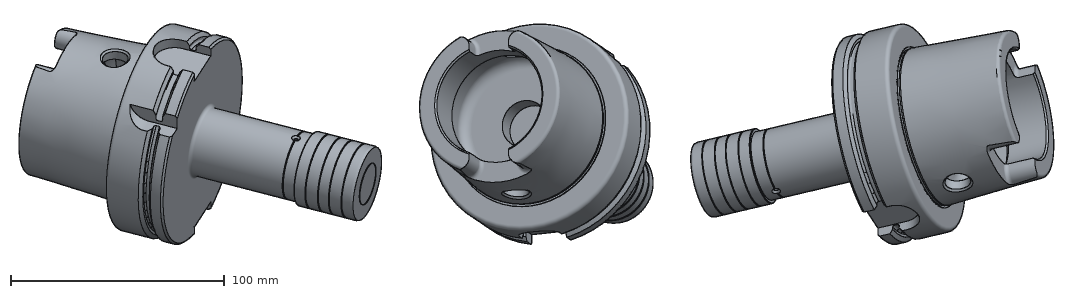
import cadquery as cq
import math


gauge_x = 50.0
flange_end_x = 79.0
head_x = 132.3
head_end_x = 162.2
total_length = 162.5

taper_end_radius = 35.5
taper_slope = 1 / 20
relief_radius = 37.5
relief_start_x = 48.8
relief_floor_x = 49.5
taper_edge_fillet = 1.6
face_groove_radius = 38.7
face_groove_depth = 0.5

bore_radius = 26.5
bore_chamfer = 0.8
bore_depth = 19.7
clamp_radius = 31.5
clamp_angle = 60
cavity_depth = 44.8
cavity_floor_fillet = 4.9
center_hole_diameter = 22.5
center_hole_depth = 9.8

keyway_half_width = 9.9
keyway_edge_radius = 5.0
keyway_edge_z = 27.1
keyway_floor_fillet = 2.0
upper_keyway_depth = 9.9
lower_keyway_depth = 14.8

cross_hole_x = 34.8
cross_hole_radius = 6.0
cross_hole_chamfer = 1.0

flange_radius = 100.0 / 2
flange_front_fillet = 2.0
flange_rear_chamfer = 1.0
groove_x = 69.9
groove_floor_radius = 45.8
groove_wall_radius = 48.0
groove_half_width = 1.6
groove_mouth_half_width = 3.1
groove_fillet = 0.8

flat_width = 20.0
flat_end_x = 54.8
flat_height = 44.0
notch_wall = 31.5

shank_radius = 33.0 / 2
root_fillet = 1.8
head_radius = 18.0
head_chamfer = 0.3
head_end_taper_length = 1.1
head_groove_radius = 17.7
head_groove_width = 0.3
head_groove_xs = (138.1, 144.5, 150.0, 156.3)
tip_diameter = 20.2

ring_x = 126.1
ring_width = 0.5
ring_depth = 0.2
dimple_diameter = 4.0
dimple_core_diameter = 2.0
dimple_depth = 2.0

clearance = 3.2


def revolve_profile(points):
    """Solid of revolution about X from (x, radius) points."""
    return cq.Workplane("XY").polyline(points).close().revolve(360, (0, 0, 0), (1, 0, 0))


def rod(start_x, end_x, diameter):
    return cq.Workplane("YZ").workplane(offset=start_x).circle(diameter / 2).extrude(end_x - start_x)


def ring_cutter(center_x, width, floor_radius, outer_radius):
    start_x = center_x - width / 2
    end_x = center_x + width / 2
    return rod(start_x, end_x, 2 * outer_radius).cut(rod(start_x, end_x, 2 * floor_radius))


def make_taper():
    taper = revolve_profile([
        (0, 0),
        (0, taper_end_radius),
        (relief_start_x, taper_end_radius + taper_slope * relief_start_x),
        (relief_floor_x, relief_radius),
        (gauge_x, relief_radius),
        (gauge_x, 0),
    ])
    taper = taper.faces("<X").edges().fillet(taper_edge_fillet)
    cross_hole = cq.Workplane("XY").center(cross_hole_x, 0).circle(cross_hole_radius)
    taper = taper.cut(cross_hole.extrude(flange_radius, both=True))
    rim_size = 2 * cross_hole_radius + clearance
    rims = cq.selectors.BoxSelector(
        (cross_hole_x - rim_size / 2, -rim_size / 2, -flange_radius),
        (cross_hole_x + rim_size / 2, rim_size / 2, flange_radius),
        boundingbox=True,
    )
    return taper.edges(rims).edges("not |Z").chamfer(cross_hole_chamfer)


def make_flange():
    flange = rod(gauge_x, flange_end_x, 2 * flange_radius)
    flange = flange.faces("<X").edges().fillet(flange_front_fillet)
    flange = flange.faces(">X").edges().chamfer(flange_rear_chamfer)
    face_groove = rod(gauge_x, gauge_x + face_groove_depth, 2 * face_groove_radius)
    flange = flange.cut(face_groove.cut(rod(gauge_x, gauge_x + face_groove_depth, 2 * relief_radius)))
    flank_slope = (groove_mouth_half_width - groove_half_width) / (flange_radius - groove_wall_radius)
    outer_radius = flange_radius + clearance
    outer_half_width = groove_mouth_half_width + clearance * flank_slope
    groove = revolve_profile([
        (groove_x - groove_half_width, groove_floor_radius),
        (groove_x - groove_half_width, groove_wall_radius),
        (groove_x - outer_half_width, outer_radius),
        (groove_x + outer_half_width, outer_radius),
        (groove_x + groove_half_width, groove_wall_radius),
        (groove_x + groove_half_width, groove_floor_radius),
    ])
    floor_edges = cq.selectors.RadiusNthSelector(0)
    return flange.cut(groove.edges(floor_edges).fillet(groove_fillet))


def make_shank_and_head():
    diagonal = root_fillet * (1 - math.sqrt(0.5))
    shank = (
        cq.Workplane("XY")
        .moveTo(flange_end_x, 0)
        .lineTo(flange_end_x, shank_radius + root_fillet)
        .threePointArc(
            (flange_end_x + diagonal, shank_radius + diagonal),
            (flange_end_x + root_fillet, shank_radius),
        )
        .lineTo(head_x, shank_radius)
        .lineTo(head_x, 0)
        .close()
        .revolve(360, (0, 0, 0), (1, 0, 0))
    )
    head = revolve_profile([
        (head_x, 0),
        (head_x, head_radius - head_chamfer),
        (head_x + head_chamfer, head_radius),
        (head_end_x - head_end_taper_length, head_radius),
        (head_end_x, head_radius - head_chamfer),
        (head_end_x, 0),
    ])
    for x in head_groove_xs:
        head = head.cut(ring_cutter(x, head_groove_width, head_groove_radius, head_radius + clearance))
    ring = ring_cutter(ring_x, ring_width, shank_radius - ring_depth, shank_radius + clearance)
    tip = rod(head_end_x, total_length, tip_diameter)
    return shank.cut(ring).union(head).union(tip)


def cavity_cutter():
    clamp_start = bore_depth + (clamp_radius - bore_radius) / math.tan(math.radians(clamp_angle))
    cavity = revolve_profile([
        (0, 0),
        (0, bore_radius + bore_chamfer),
        (bore_chamfer, bore_radius),
        (bore_depth, bore_radius),
        (clamp_start, clamp_radius),
        (cavity_depth, clamp_radius),
        (cavity_depth, 0),
    ])
    cavity = cavity.faces(">X").edges().fillet(cavity_floor_fillet)
    return cavity.union(rod(cavity_depth, cavity_depth + center_hole_depth, center_hole_diameter))


def keyway_cutter(depth):
    """Keyway above the axis; the tenon edges beside it are rounded outward."""
    outer_y = keyway_half_width + keyway_edge_radius
    outer_z = keyway_edge_z + keyway_edge_radius
    diagonal = keyway_edge_radius * (1 - math.sqrt(0.5))
    arc_mid = (keyway_half_width + diagonal, outer_z - diagonal)
    reach = taper_end_radius + clearance
    cutter = (
        cq.Workplane("YZ")
        .moveTo(-keyway_half_width, 0)
        .lineTo(keyway_half_width, 0)
        .lineTo(keyway_half_width, keyway_edge_z)
        .threePointArc(arc_mid, (outer_y, outer_z))
        .lineTo(outer_y + clearance, outer_z)
        .lineTo(outer_y + clearance, reach)
        .lineTo(-outer_y - clearance, reach)
        .lineTo(-outer_y - clearance, outer_z)
        .lineTo(-outer_y, outer_z)
        .threePointArc((-arc_mid[0], arc_mid[1]), (-keyway_half_width, keyway_edge_z))
        .close()
        .extrude(depth)
    )
    margin = 0.2
    wall_zone = cq.selectors.BoxSelector(
        (depth - margin, -outer_y - clearance + margin, margin),
        (depth + margin, outer_y + clearance - margin, reach - margin),
    )
    return cutter.edges(wall_zone).fillet(keyway_floor_fillet)


def flat_cutter(base_z, center_y=0):
    """Round-ended slot along X, open at the rear of the flange and everything above base_z."""
    radius = flat_width / 2
    center_x = flat_end_x + radius
    length = flange_end_x + clearance - center_x
    slot = cq.Workplane("XY", origin=(center_x, center_y, base_z)).circle(radius).extrude(flange_radius)
    straight = (
        cq.Workplane("XY", origin=(center_x, center_y, base_z))
        .rect(length, flat_width)
        .extrude(flange_radius)
        .translate((length / 2, 0, 0))
    )
    return slot.union(straight)


def corner_notch_cutter():
    """Right-angled notch between the -Y and +Z sides, with a round end."""
    slot = flat_cutter(notch_wall, notch_wall + flat_width / 2)
    return slot.rotate((0, 0, 0), (1, 0, 0), 90)


def dimple_cutter():
    cone_depth = (dimple_diameter - dimple_core_diameter) / 2
    dimple = (
        cq.Workplane("XY", origin=(ring_x, 0, shank_radius))
        .circle(dimple_diameter / 2)
        .workplane(offset=-cone_depth)
        .circle(dimple_core_diameter / 2)
        .loft()
    )
    core = (
        cq.Workplane("XY", origin=(ring_x, 0, shank_radius - dimple_depth))
        .circle(dimple_core_diameter / 2)
        .extrude(dimple_depth)
    )
    return dimple.union(core)


def turned_over(shape):
    return shape.rotate((0, 0, 0), (1, 0, 0), 180)


result = make_taper().union(make_flange()).union(make_shank_and_head())
result = result.cut(cavity_cutter())
result = result.cut(keyway_cutter(upper_keyway_depth))
result = result.cut(turned_over(keyway_cutter(lower_keyway_depth)))
result = result.cut(flat_cutter(flat_height))
result = result.cut(turned_over(flat_cutter(flat_height)))
result = result.cut(corner_notch_cutter())
result = result.cut(dimple_cutter())
result = result.cut(turned_over(dimple_cutter()))